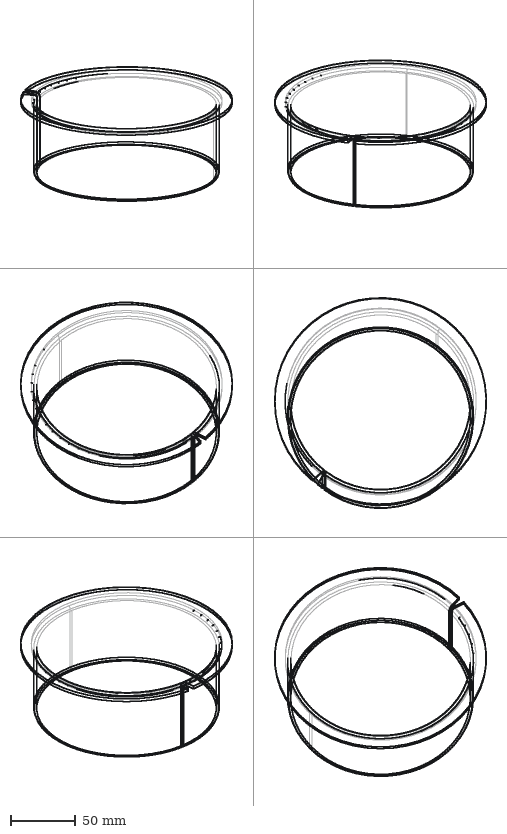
import cadquery as cq
import math

flange_radius = 82.5
sleeve_radius = 72.5
wall = 2.5
height = 60.0

outer_bend = 2.0
inner_bend = outer_bend + wall

chamfer_height = 1.8
chamfer_depth = 0.7

bore_gap = 0.8
rim_gap = 5.3
bore_overcut = 1.6

bore_radius = sleeve_radius - wall
bend_center_radius = sleeve_radius + outer_bend
flange_bottom = height - wall
bend_center_z = height - inner_bend


def make_body():
    """Revolve the constant-wall section: sleeve, bend and flange."""
    diagonal = math.sqrt(0.5)
    outer_mid = (bend_center_radius - outer_bend * diagonal, bend_center_z + outer_bend * diagonal)
    inner_mid = (bend_center_radius - inner_bend * diagonal, bend_center_z + inner_bend * diagonal)
    section = (
        cq.Workplane("XZ")
        .moveTo(bore_radius, 0)
        .lineTo(sleeve_radius - chamfer_depth, 0)
        .lineTo(sleeve_radius, chamfer_height)
        .lineTo(sleeve_radius, bend_center_z)
        .threePointArc(outer_mid, (bend_center_radius, flange_bottom))
        .lineTo(flange_radius, flange_bottom)
        .lineTo(flange_radius, height)
        .lineTo(bend_center_radius, height)
        .threePointArc(inner_mid, (bore_radius, bend_center_z))
        .close()
    )
    return section.revolve(360, (0, 0, 0), (0, 1, 0))


def make_split():
    """Full-height wedge that widens from the bore to the flange rim."""
    return (
        cq.Workplane("XY")
        .moveTo(-bore_radius + bore_overcut, -bore_gap / 2)
        .lineTo(-bore_radius, -bore_gap / 2)
        .lineTo(-flange_radius, -rim_gap / 2)
        .lineTo(-flange_radius, rim_gap / 2)
        .lineTo(-bore_radius, bore_gap / 2)
        .lineTo(-bore_radius + bore_overcut, bore_gap / 2)
        .close()
        .extrude(height)
    )


result = make_body().cut(make_split())